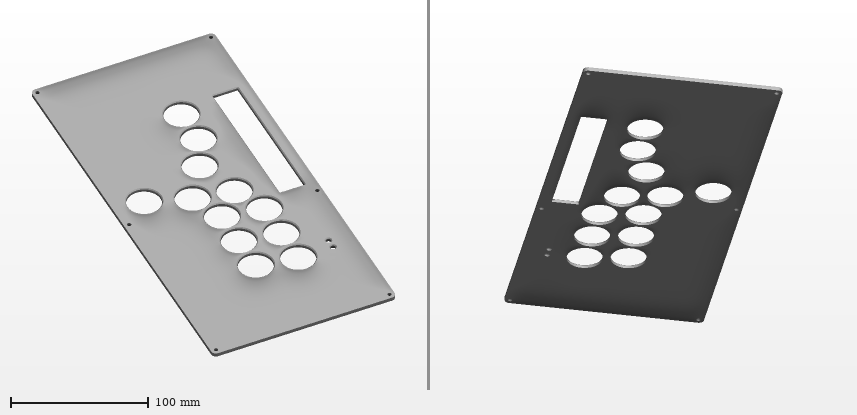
import cadquery as cq

length = 313.18
width = 147.6
thickness = 3.0
corner_radius = 3.8

screw_diameter = 3.2
screw_inset = 4.0
screw_x = length / 2 - screw_inset
screw_y = width / 2 - screw_inset
back_middle_screw_x = 29.2
front_middle_screw_x = 4.0

window_length = 114.6
window_width = 20.1
window_corner_radius = 0.5
window_center_x = -38.3
window_center_y = 54.4

button_diameter = 26.5
button_pitch = 29.0
row_count = 3
pair_count = 2
upper_row_start = (29.65, 26.9)
lower_row_start = (24.05, -4.6)
left_pair_start = (-87.5, 15.3)
single_buttons = [(-31.9, 3.9), (3.1, 15.3), (-2.5, -15.7), (-14.3, -49.1)]

indicator_diameter = 4.0
indicator_pitch = 7.8
indicator_start = (80.9, 54.4)
indicator_count = 2

rim_chamfer = 0.8
countersink_angle = 90


def row(start, count, pitch):
    """Centers of equally spaced holes running along +X from the start point."""
    return [(start[0] + i * pitch, start[1]) for i in range(count)]


def on_top(body):
    """Workplane on the top face with its origin above the plate center."""
    return body.faces(">Z").workplane(origin=(0, 0, 0))


def make_plate():
    return cq.Workplane("XY").box(length, width, thickness).edges("|Z").fillet(corner_radius)


def cut_window(plate):
    """Rounded window through the plate, with a chamfered rim at the top face."""
    outline = cq.Sketch().rect(window_length, window_width).vertices().fillet(window_corner_radius)
    opened = on_top(plate).center(window_center_x, window_center_y).placeSketch(outline).cutThruAll()
    window_rim = opened.faces(">Z").val().innerWires()[0]
    return opened.newObject(window_rim.Edges()).chamfer(rim_chamfer)


def cut_screw_holes(plate):
    centers = [(x, y) for x in (-screw_x, screw_x) for y in (-screw_y, screw_y)]
    centers += [(back_middle_screw_x, screw_y), (front_middle_screw_x, -screw_y)]
    return on_top(plate).pushPoints(centers).hole(screw_diameter)


def cut_chamfered_holes(plate, centers, diameter):
    """Round through holes with a chamfered rim at the top face."""
    rim_diameter = diameter + 2 * rim_chamfer
    return on_top(plate).pushPoints(centers).cskHole(diameter, rim_diameter, countersink_angle)


def cut_button_holes(plate):
    centers = row(upper_row_start, row_count, button_pitch)
    centers += row(lower_row_start, row_count, button_pitch)
    centers += row(left_pair_start, pair_count, button_pitch)
    centers += single_buttons
    return cut_chamfered_holes(plate, centers, button_diameter)


def cut_indicator_holes(plate):
    centers = row(indicator_start, indicator_count, indicator_pitch)
    return cut_chamfered_holes(plate, centers, indicator_diameter)


result = make_plate()
result = cut_window(result)
result = cut_screw_holes(result)
result = cut_button_holes(result)
result = cut_indicator_holes(result)